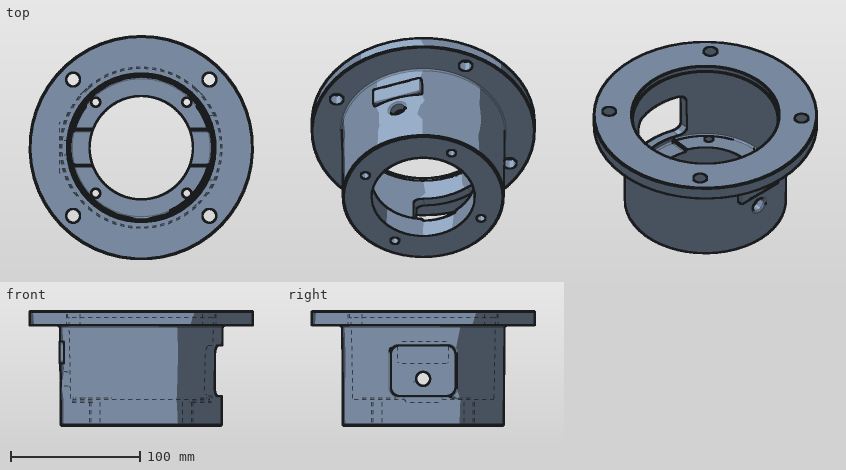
import cadquery as cq
TOTAL_HEIGHT = 88.9
FLANGE_DIAMETER = 173.0
FLANGE_THICKNESS = 11.2
FLANGE_BOTTOM = TOTAL_HEIGHT - FLANGE_THICKNESS
FLANGE_EDGE_CHAMFER = 0.7
FLOOR_TOP = 20.4

BODY_TOP_RADIUS = 63.1
BODY_BOTTOM_RADIUS = 62.5
BODY_BOTTOM_CHAMFER = 1.0
NECK_FILLET = 1.2

PILOT_RADIUS = 57.0
PILOT_DEPTH = 4.8
PILOT_CHAMFER = 0.5
PILOT_FLOOR = TOTAL_HEIGHT - PILOT_DEPTH
CAVITY_TOP_RADIUS = 56.0
CAVITY_FLOOR_RADIUS = 54.8
CAVITY_FILLET = 1.4
SHAFT_BORE_RADIUS = 40.0

FLANGE_HOLE_DIAMETER = 10.5
FLANGE_HOLE_SPACING = 105.5
FLOOR_HOLE_DIAMETER = 7.0
FLOOR_HOLE_SPACING = 70.5

CHANNEL_FLOOR_WIDTH = 24.5
CHANNEL_TOP_WIDTH = 29.4
CHANNEL_DEPTH = 2.0
CHANNEL_FILLET = 1.2

WINDOW_BOTTOM = 23.4
WINDOW_TOP = 62.3
WINDOW_WIDTH = 49.8
WINDOW_CORNER_RADIUS = 6.2
WINDOW_EDGE_FILLET = 1.0

SIDE_HOLE_HEIGHT = 36.5
SIDE_HOLE_INNER_RADIUS = 4.3
SIDE_HOLE_OUTER_RADIUS = 5.9
SIDE_HOLE_MOUTH_FILLET = 1.5

PAD_BOTTOM = 48.5
PAD_TOP = 65.4
PAD_WIDTH = 39.5
PAD_FACE_X = -63.5
PAD_DEPTH = 6.0
PAD_CORNER_RADIUS = 2.0
PAD_EDGE_FILLET = 1.0


def make_shell():
    """Flange, drafted housing wall and floor as one turned outline."""
    flange_radius = FLANGE_DIAMETER / 2
    edge = FLANGE_EDGE_CHAMFER
    return (
        cq.Workplane("YZ")
        .moveTo(SHAFT_BORE_RADIUS, 0)
        .lineTo(BODY_BOTTOM_RADIUS - BODY_BOTTOM_CHAMFER, 0)
        .lineTo(BODY_BOTTOM_RADIUS, BODY_BOTTOM_CHAMFER)
        .lineTo(BODY_TOP_RADIUS, FLANGE_BOTTOM - NECK_FILLET)
        .radiusArc((BODY_TOP_RADIUS + NECK_FILLET, FLANGE_BOTTOM), NECK_FILLET)
        .lineTo(flange_radius - edge, FLANGE_BOTTOM)
        .lineTo(flange_radius, FLANGE_BOTTOM + edge)
        .lineTo(flange_radius, TOTAL_HEIGHT - edge)
        .lineTo(flange_radius - edge, TOTAL_HEIGHT)
        .lineTo(PILOT_RADIUS + PILOT_CHAMFER, TOTAL_HEIGHT)
        .lineTo(PILOT_RADIUS, TOTAL_HEIGHT - PILOT_CHAMFER)
        .lineTo(PILOT_RADIUS, PILOT_FLOOR)
        .lineTo(CAVITY_TOP_RADIUS, PILOT_FLOOR)
        .lineTo(CAVITY_FLOOR_RADIUS, FLOOR_TOP + CAVITY_FILLET)
        .radiusArc((CAVITY_FLOOR_RADIUS - CAVITY_FILLET, FLOOR_TOP), CAVITY_FILLET)
        .lineTo(SHAFT_BORE_RADIUS, FLOOR_TOP)
        .close()
        .revolve(360, (0, 0, 0), (0, 1, 0))
    )


def make_square_pattern_holes(spacing, diameter):
    """Four through holes on the corners of a square."""
    return (
        cq.Workplane("XY")
        .rect(spacing, spacing, forConstruction=True)
        .vertices()
        .circle(diameter / 2)
        .extrude(TOTAL_HEIGHT)
    )


def make_floor_channel():
    """Channel across the floor, with root fillets along its sides and at the cavity wall."""
    half_floor = CHANNEL_FLOOR_WIDTH / 2
    half_root = half_floor + CHANNEL_FILLET
    half_top = CHANNEL_TOP_WIDTH / 2
    channel_floor = FLOOR_TOP - CHANNEL_DEPTH
    root_height = channel_floor + CHANNEL_FILLET
    clearance_top = FLOOR_TOP + CAVITY_FILLET
    strip = (
        cq.Workplane("YZ")
        .moveTo(-half_floor, channel_floor)
        .lineTo(half_floor, channel_floor)
        .radiusArc((half_root, root_height), -CHANNEL_FILLET)
        .lineTo(half_top, FLOOR_TOP)
        .lineTo(half_top, clearance_top)
        .lineTo(-half_top, clearance_top)
        .lineTo(-half_top, FLOOR_TOP)
        .lineTo(-half_root, root_height)
        .radiusArc((-half_floor, channel_floor), -CHANNEL_FILLET)
        .close()
        .extrude(BODY_TOP_RADIUS, both=True)
    )
    cavity_foot = (
        cq.Workplane("XY", origin=(0, 0, channel_floor))
        .circle(CAVITY_FLOOR_RADIUS)
        .extrude(clearance_top - channel_floor)
        .faces("<Z")
        .edges()
        .fillet(CAVITY_FILLET)
    )
    return strip.intersect(cavity_foot)


def make_window():
    """Rounded rectangular opening through the +X wall."""
    height = WINDOW_TOP - WINDOW_BOTTOM
    return (
        cq.Workplane("YZ", origin=(0, 0, WINDOW_BOTTOM + height / 2))
        .rect(WINDOW_WIDTH, height)
        .extrude(FLANGE_DIAMETER / 2)
        .edges("|X")
        .fillet(WINDOW_CORNER_RADIUS)
    )


def make_side_hole():
    """Hole along X through the -X wall, tapering inwards."""
    return (
        cq.Workplane("YZ", origin=(-BODY_TOP_RADIUS, 0, SIDE_HOLE_HEIGHT))
        .circle(SIDE_HOLE_OUTER_RADIUS)
        .workplane(offset=BODY_TOP_RADIUS - SHAFT_BORE_RADIUS)
        .circle(SIDE_HOLE_INNER_RADIUS)
        .loft()
    )


def make_name_pad():
    """Flat pad with rounded corners standing just proud of the -X wall."""
    height = PAD_TOP - PAD_BOTTOM
    return (
        cq.Workplane("YZ", origin=(PAD_FACE_X, 0, PAD_BOTTOM + height / 2))
        .rect(PAD_WIDTH, height)
        .extrude(PAD_DEPTH)
        .edges("|X")
        .fillet(PAD_CORNER_RADIUS)
        .faces("<X")
        .edges()
        .fillet(PAD_EDGE_FILLET)
    )


def fillet_edge_loop(solid, near_point, radius):
    """Round the smooth edge loop that passes closest to a point."""
    return solid.edges(cq.selectors.NearestToPointSelector(near_point)).fillet(radius)


housing = (
    make_shell()
    .union(make_name_pad())
    .cut(make_square_pattern_holes(FLANGE_HOLE_SPACING, FLANGE_HOLE_DIAMETER))
    .cut(make_square_pattern_holes(FLOOR_HOLE_SPACING, FLOOR_HOLE_DIAMETER))
    .cut(make_floor_channel())
    .cut(make_window())
    .cut(make_side_hole())
)

window_edge_point = (BODY_TOP_RADIUS, 0, WINDOW_TOP)
side_hole_mouth = (-BODY_TOP_RADIUS, 0, SIDE_HOLE_HEIGHT)
housing = fillet_edge_loop(housing, window_edge_point, WINDOW_EDGE_FILLET)
result = fillet_edge_loop(housing, side_hole_mouth, SIDE_HOLE_MOUTH_FILLET)